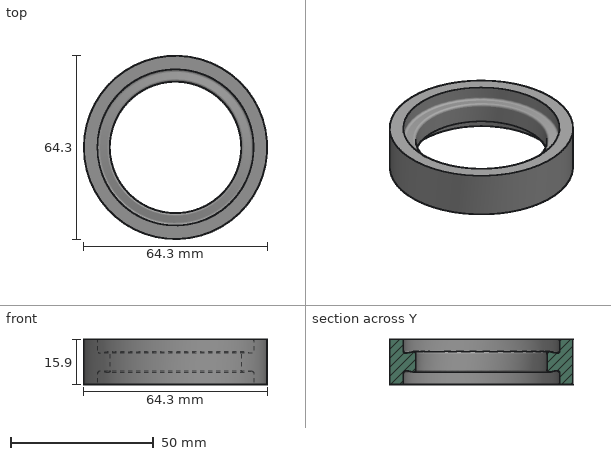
import cadquery as cq
import math

OUTER_RADIUS = 32.13
WIDTH = 15.88
COUNTERBORE_RADIUS = 27.35
BORE_RADIUS = 22.97
COUNTERBORE_DEPTH = 5.0
SHOULDER_ANGLE = 11.5
CORNER_RADIUS = 0.79

half_width = WIDTH / 2
shoulder_rise = (COUNTERBORE_RADIUS - BORE_RADIUS) * math.tan(math.radians(SHOULDER_ANGLE))
shoulder_root_z = half_width - COUNTERBORE_DEPTH
shoulder_crest_z = shoulder_root_z + shoulder_rise


def ring_with_sharp_shoulders():
    """Revolve the ring section, which is symmetric about the mid-plane."""
    section = [
        (-OUTER_RADIUS, -half_width),
        (-OUTER_RADIUS, half_width),
        (-COUNTERBORE_RADIUS, half_width),
        (-COUNTERBORE_RADIUS, shoulder_root_z),
        (-BORE_RADIUS, shoulder_crest_z),
        (-BORE_RADIUS, -shoulder_crest_z),
        (-COUNTERBORE_RADIUS, -shoulder_root_z),
        (-COUNTERBORE_RADIUS, -half_width),
    ]
    return cq.Workplane("XZ").polyline(section).close().revolve(360, (0, 0, 0), (0, 1, 0))


def round_shoulders(ring):
    """Round the root and crest circles of both shoulders."""
    inside_end_faces = cq.selectors.BoxSelector(
        (-OUTER_RADIUS, -OUTER_RADIUS, -shoulder_crest_z - CORNER_RADIUS),
        (OUTER_RADIUS, OUTER_RADIUS, shoulder_crest_z + CORNER_RADIUS),
    )
    return ring.edges("%CIRCLE").edges(inside_end_faces).fillet(CORNER_RADIUS)


result = round_shoulders(ring_with_sharp_shoulders())